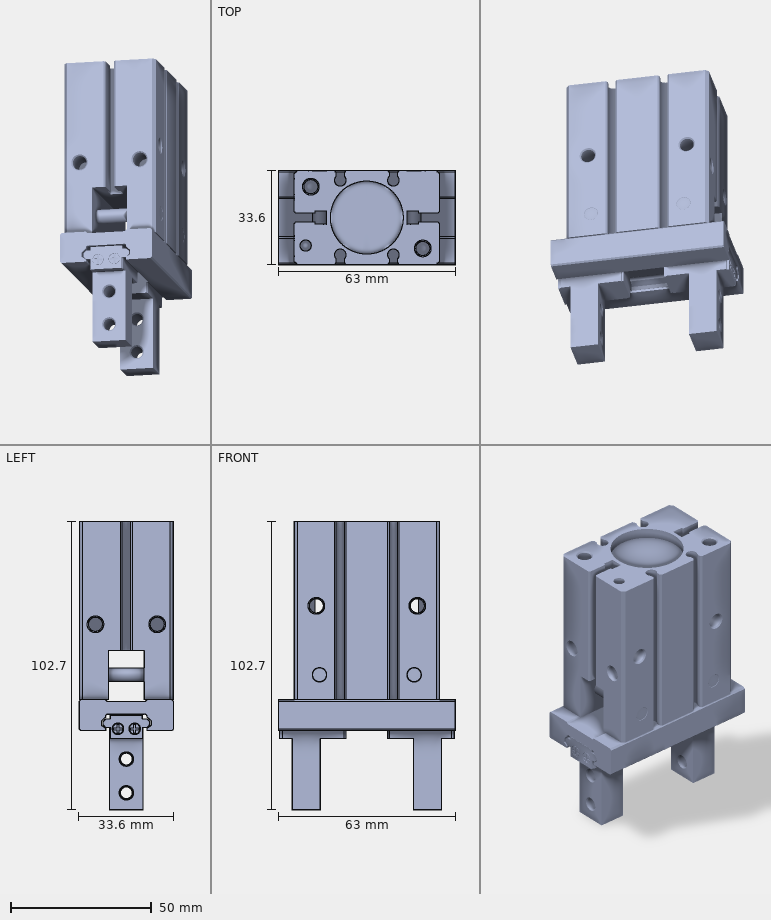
import cadquery as cq

TOTAL_HEIGHT = 102.7
FLANGE_DEPTH = 33.6
FLANGE_LENGTH = 63.0
BODY_LENGTH = 51.8
BODY_DEPTH = 33.5

FLANGE_BOTTOM = 28.2
FLANGE_TOP = 39.2
BODY_HEIGHT = TOTAL_HEIGHT - FLANGE_TOP

BODY_CHAMFER = 1.1
FLANGE_TOP_CHAMFER = 0.6
FLANGE_BOTTOM_CHAMFER = 0.5
SLOT_MOUTH_CHAMFER = 0.6

BORE_DIAMETER = 26.0
BORE_DEPTH = 3.7

KEYHOLE_X = 9.4
KEYHOLE_Y = 13.2
KEYHOLE_DIAMETER = 4.1
KEYHOLE_MOUTH = 2.9

T_MOUTH = 3.1
T_WIDTH = 4.6
T_WIDE_X = 18.4
T_FLOOR_X = 14.3

WINDOW_WIDTH = 12.6
WINDOW_TOP = 56.7
PIN_DIAMETER = 4.9
PIN_X = 16.8
PIN_Z = 48.1
PIN_RECESS = 0.1

THREAD_DIAMETER = 5.0
COUNTERSINK = 0.46
THREAD_DEPTH = 10.3
FACE_HOLE_X = 18.0
FACE_HOLE_Z = 72.6
FACE_HOLE_BOTTOM_Y = 2.1
END_HOLE_Y = 11.0
END_HOLE_Z = 66.0
TOP_HOLE_X = 19.9
TOP_HOLE_Y = 11.0
DOWEL_DIAMETER = 4.0
DOWEL_X = 21.8
DOWEL_Y = 10.0
DOWEL_DEPTH = 6.2

CHANNEL_WIDTH = 13.6
CHANNEL_DEPTH = 0.6

GUIDE_TOP = 34.0
GUIDE_TOP_HALF = 6.3
GUIDE_LIP_HALF = 7.3
GUIDE_WAIST_HALF = 7.1
GUIDE_HALF = 8.8
GUIDE_FLANK_TOP = 31.6
GUIDE_FLANK_BOTTOM = 30.1
GUIDE_LIP_TOP = 29.1
GUIDE_RELIEF_DIAMETER = 1.5
GUIDE_RELIEF_Y = 6.6
GUIDE_RELIEF_Z = 33.3

RAIL_TOP = 33.6
RAIL_TOP_HALF = 5.8
RAIL_SHOULDER_Z = 32.4
RAIL_LOWER_Z = 29.3
RAIL_SHOULDER_HALF = 7.4
RAIL_HALF = 8.3
RAIL_CLEARANCE = 0.2
RAIL_BOTTOM = 25.4
RAIL_INNER_X = 7.4
RAIL_OUTER_X = 31.1
OUTER_PLATE_THICKNESS = 1.0
INNER_PLATE_THICKNESS = 0.7
PLATE_STEP = 0.3

FINGER_WIDTH = 12.0
FINGER_INNER_X = 16.5
FINGER_OUTER_X = 26.6
FINGER_HOLE_DIAMETER = 4.2
FINGER_HOLE_HEIGHTS = (6.1, 18.1)

SCREW_DIAMETER = 4.1
SCREW_HEAD_DIAMETER = 3.8
SCREW_Y = 3.0
SCREW_Z = 28.9
SCREW_RECESS = 0.3
CROSS_LENGTH = 3.1
CROSS_WIDTH = 0.7
CROSS_DEPTH = 0.2

SIDES = (-1, 1)


def box(x_range, y_range, z_range):
    """Solid box between the given pairs of limits."""
    sizes = [high - low for low, high in (x_range, y_range, z_range)]
    corner = (x_range[0], y_range[0], z_range[0])
    return cq.Workplane(cq.Solid.makeBox(*sizes, cq.Vector(*corner)))


def cylinder(diameter, length, start, direction):
    """Solid cylinder that runs from start along direction."""
    return cq.Workplane(
        cq.Solid.makeCylinder(diameter / 2, length, cq.Vector(*start), cq.Vector(*direction))
    )


def countersunk_hole(diameter, length, start, inward):
    """Cutter for a hole whose mouth at start has a 45 degree countersink."""
    mouth = cq.Solid.makeCone(
        diameter / 2 + COUNTERSINK, diameter / 2, COUNTERSINK, cq.Vector(*start), cq.Vector(*inward)
    )
    return cylinder(diameter, length, start, inward).union(cq.Workplane(mouth))


def profile_along_x(right_half, x_range):
    """Extrude along X a (Y, Z) outline, given its half on the +Y side from bottom to top."""
    left_half = [(-y, z) for y, z in reversed(right_half)]
    outline = cq.Workplane("YZ", origin=(x_range[0], 0, 0)).polyline(right_half + left_half)
    return outline.close().extrude(x_range[1] - x_range[0])




def body_block():
    block = box(
        (-BODY_LENGTH / 2, BODY_LENGTH / 2), (-BODY_DEPTH / 2, BODY_DEPTH / 2), (FLANGE_TOP, TOTAL_HEIGHT)
    )
    return block.edges("|Z").chamfer(BODY_CHAMFER)


def keyhole_cutter(x_side, y_side):
    """Round channel with a narrow, chamfered mouth in the front or back face."""
    center_x = x_side * KEYHOLE_X
    mouth_half = KEYHOLE_MOUTH / 2
    face_half = mouth_half + SLOT_MOUTH_CHAMFER
    face_y = BODY_DEPTH / 2
    outline = [
        (-mouth_half, KEYHOLE_Y),
        (-mouth_half, face_y - SLOT_MOUTH_CHAMFER),
        (-face_half, face_y),
        (face_half, face_y),
        (mouth_half, face_y - SLOT_MOUTH_CHAMFER),
        (mouth_half, KEYHOLE_Y),
    ]
    points = [(center_x + x, y_side * y) for x, y in outline]
    base = cq.Workplane("XY", origin=(0, 0, FLANGE_TOP))
    mouth = base.polyline(points).close().extrude(BODY_HEIGHT)
    channel = base.center(center_x, y_side * KEYHOLE_Y).circle(KEYHOLE_DIAMETER / 2)
    return mouth.union(channel.extrude(BODY_HEIGHT))


def t_slot_cutter(x_side):
    """T-shaped slot in one end face, running from the top down into the window."""
    face_x = BODY_LENGTH / 2
    mouth_half = T_MOUTH / 2
    half_outline = [
        (face_x, mouth_half + SLOT_MOUTH_CHAMFER),
        (face_x - SLOT_MOUTH_CHAMFER, mouth_half),
        (T_WIDE_X, mouth_half),
        (T_WIDE_X, T_WIDTH / 2),
        (T_FLOOR_X, T_WIDTH / 2),
    ]
    outline = half_outline + [(x, -y) for x, y in reversed(half_outline)]
    points = [(x_side * x, y) for x, y in outline]
    base = cq.Workplane("XY", origin=(0, 0, WINDOW_TOP))
    return base.polyline(points).close().extrude(TOTAL_HEIGHT - WINDOW_TOP)


def threaded_hole_cutters():
    """Holes in the front and back faces, in the end faces and in the top."""
    cutters = []
    for x_side in SIDES:
        for y_side in SIDES:
            face_start = (x_side * FACE_HOLE_X, y_side * BODY_DEPTH / 2, FACE_HOLE_Z)
            face_depth = BODY_DEPTH / 2 - FACE_HOLE_BOTTOM_Y
            cutters.append(countersunk_hole(THREAD_DIAMETER, face_depth, face_start, (0, -y_side, 0)))
            end_start = (x_side * BODY_LENGTH / 2, y_side * END_HOLE_Y, END_HOLE_Z)
            cutters.append(countersunk_hole(THREAD_DIAMETER, THREAD_DEPTH, end_start, (-x_side, 0, 0)))
        top_start = (x_side * TOP_HOLE_X, -x_side * TOP_HOLE_Y, TOTAL_HEIGHT)
        cutters.append(countersunk_hole(THREAD_DIAMETER, THREAD_DEPTH, top_start, (0, 0, -1)))
    return cutters


def flange():
    """Plate under the body, with a shallow channel along its top."""
    half_depth = FLANGE_DEPTH / 2
    plate_outline = [
        (half_depth - FLANGE_BOTTOM_CHAMFER, FLANGE_BOTTOM),
        (half_depth, FLANGE_BOTTOM + FLANGE_BOTTOM_CHAMFER),
        (half_depth, FLANGE_TOP - FLANGE_TOP_CHAMFER),
        (half_depth - FLANGE_TOP_CHAMFER, FLANGE_TOP),
        (CHANNEL_WIDTH / 2 + CHANNEL_DEPTH, FLANGE_TOP),
        (CHANNEL_WIDTH / 2, FLANGE_TOP - CHANNEL_DEPTH),
    ]
    return profile_along_x(plate_outline, (-FLANGE_LENGTH / 2, FLANGE_LENGTH / 2))


def guide_cutter():
    """Guide way through the flange, with round reliefs in its two top corners."""
    x_range = (-FLANGE_LENGTH / 2, FLANGE_LENGTH / 2)
    outline = [
        (GUIDE_LIP_HALF, FLANGE_BOTTOM),
        (GUIDE_LIP_HALF, GUIDE_LIP_TOP),
        (GUIDE_HALF, GUIDE_FLANK_BOTTOM),
        (GUIDE_HALF, GUIDE_FLANK_TOP),
        (GUIDE_WAIST_HALF, GUIDE_RELIEF_Z),
        (GUIDE_TOP_HALF, GUIDE_TOP),
    ]
    cutter = profile_along_x(outline, x_range)
    for y_side in SIDES:
        start = (x_range[0], y_side * GUIDE_RELIEF_Y, GUIDE_RELIEF_Z)
        cutter = cutter.union(cylinder(GUIDE_RELIEF_DIAMETER, FLANGE_LENGTH, start, (1, 0, 0)))
    return cutter


def lever_pin(x_side):
    """Pin that bridges the window between its two side walls."""
    base = cq.Workplane("XZ", origin=(x_side * PIN_X, WINDOW_WIDTH / 2, PIN_Z))
    return base.circle(PIN_DIAMETER / 2).extrude(WINDOW_WIDTH)


def pin_end_recess(x_side, y_side):
    """Shallow conical recess that leaves the pin end just below the front or back face."""
    recess = cq.Solid.makeCone(
        PIN_DIAMETER / 2 + PIN_RECESS,
        PIN_DIAMETER / 2,
        PIN_RECESS,
        cq.Vector(x_side * PIN_X, y_side * BODY_DEPTH / 2, PIN_Z),
        cq.Vector(0, -y_side, 0),
    )
    return cq.Workplane(recess)


def make_housing():
    housing = body_block()
    for x_side in SIDES:
        housing = housing.cut(t_slot_cutter(x_side))
        for y_side in SIDES:
            housing = housing.cut(keyhole_cutter(x_side, y_side))
    for cutter in threaded_hole_cutters():
        housing = housing.cut(cutter)

    bore_start = (0, 0, TOTAL_HEIGHT)
    housing = housing.cut(cylinder(BORE_DIAMETER, BORE_DEPTH, bore_start, (0, 0, -1)))
    dowel_start = (-DOWEL_X, -DOWEL_Y, TOTAL_HEIGHT)
    housing = housing.cut(cylinder(DOWEL_DIAMETER, DOWEL_DEPTH, dowel_start, (0, 0, -1)))

    window = box(
        (-BODY_LENGTH / 2, BODY_LENGTH / 2),
        (-WINDOW_WIDTH / 2, WINDOW_WIDTH / 2),
        (FLANGE_TOP, WINDOW_TOP),
    )
    housing = housing.cut(window).union(flange()).cut(guide_cutter())

    for x_side in SIDES:
        housing = housing.union(lever_pin(x_side))
        for y_side in SIDES:
            housing = housing.cut(pin_end_recess(x_side, y_side))
    return housing




def rail_segment(neck_half, x_range):
    """Stretch of the jaw rail: a neck with a guide wing on each side."""
    wing_outline = [
        (neck_half, RAIL_BOTTOM),
        (neck_half, RAIL_LOWER_Z),
        (RAIL_SHOULDER_HALF, RAIL_LOWER_Z),
        (RAIL_HALF, GUIDE_FLANK_BOTTOM + RAIL_CLEARANCE),
        (RAIL_HALF, GUIDE_FLANK_TOP - RAIL_CLEARANCE),
        (RAIL_SHOULDER_HALF, RAIL_SHOULDER_Z),
        (RAIL_TOP_HALF, RAIL_SHOULDER_Z),
        (RAIL_TOP_HALF, RAIL_TOP),
    ]
    return profile_along_x(wing_outline, x_range)


def screw_cutter(y, face_x, inward):
    """Ring around a screw head and the cross recess in it."""
    start = (face_x, y, SCREW_Z)
    ring = cylinder(SCREW_DIAMETER, SCREW_RECESS, start, (inward, 0, 0))
    ring = ring.cut(cylinder(SCREW_HEAD_DIAMETER, SCREW_RECESS, start, (inward, 0, 0)))
    recess = cq.Workplane("YZ", origin=start).rect(CROSS_LENGTH, CROSS_WIDTH)
    recess = recess.extrude(inward * CROSS_DEPTH)
    upright = cq.Workplane("YZ", origin=start).rect(CROSS_WIDTH, CROSS_LENGTH)
    return ring.union(recess.union(upright.extrude(inward * CROSS_DEPTH)))


def make_jaw():
    """Jaw on the -X side."""
    neck_half = FINGER_WIDTH / 2
    jaw = rail_segment(
        neck_half, (-RAIL_OUTER_X + OUTER_PLATE_THICKNESS, -RAIL_INNER_X - INNER_PLATE_THICKNESS)
    )
    plate_half = neck_half - PLATE_STEP
    outer_plate = rail_segment(plate_half, (-RAIL_OUTER_X, -RAIL_OUTER_X + OUTER_PLATE_THICKNESS))
    inner_plate = rail_segment(plate_half, (-RAIL_INNER_X - INNER_PLATE_THICKNESS, -RAIL_INNER_X))
    finger = box((-FINGER_OUTER_X, -FINGER_INNER_X), (-neck_half, neck_half), (0, RAIL_BOTTOM))
    jaw = jaw.union(outer_plate).union(inner_plate).union(finger)

    for height in FINGER_HOLE_HEIGHTS:
        length = FINGER_OUTER_X - FINGER_INNER_X
        for x, inward in ((-FINGER_OUTER_X, 1), (-FINGER_INNER_X, -1)):
            start = (x, 0, height)
            jaw = jaw.cut(countersunk_hole(FINGER_HOLE_DIAMETER, length, start, (inward, 0, 0)))
    for y_side in SIDES:
        jaw = jaw.cut(screw_cutter(y_side * SCREW_Y, -RAIL_OUTER_X, 1))
    return jaw


housing = make_housing()
left_jaw = make_jaw()
right_jaw = left_jaw.mirror("YZ")
result = cq.Compound.makeCompound([housing.val(), left_jaw.val(), right_jaw.val()])